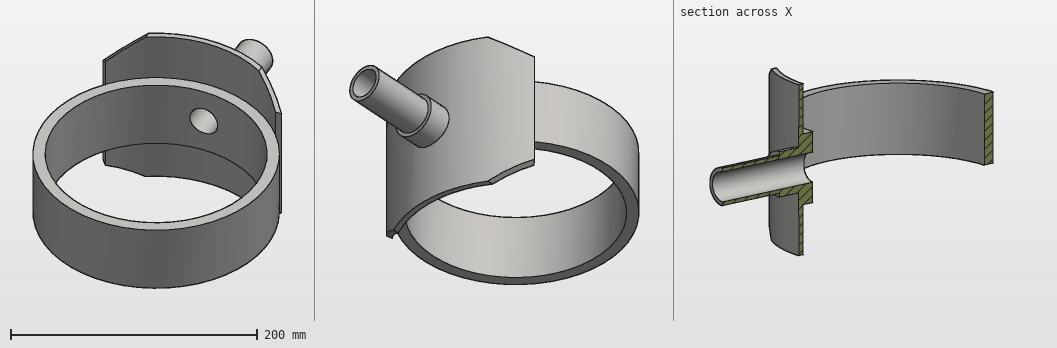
import cadquery as cq
import math

ring_outer_radius = 100.0
ring_wall = 10.0
ring_height = 60.0
ring_inner_radius = ring_outer_radius - ring_wall

saddle_thickness = 5.0
saddle_height = 144.0
saddle_half_angle = 50.0
saddle_outer_radius = ring_outer_radius + saddle_thickness
saddle_half_width = saddle_outer_radius * math.sin(math.radians(saddle_half_angle))
saddle_top_half_width = 51.0
saddle_side_height = 102.0

spigot_diameter = 32.0
spigot_length = 60.0
collar_diameter = 38.5
collar_length = 20.0
bore_diameter = 25.0
collar_end = saddle_outer_radius + collar_length
spigot_end = collar_end + spigot_length


def point_on_arc(radius, angle):
    """Point at an angle in degrees from +Y, positive toward +X."""
    return (radius * math.sin(math.radians(angle)), radius * math.cos(math.radians(angle)))


def cylinder_along_y(diameter, start, end):
    """Solid cylinder on the Y axis between two Y positions."""
    base = cq.Workplane("XZ", origin=(0, start, 0)).circle(diameter / 2)
    return base.extrude(start - end)


def make_ring_blank():
    """Solid disc of the ring, bored after everything is joined."""
    return cq.Workplane("XY").circle(ring_outer_radius).extrude(ring_height / 2, both=True)


def make_saddle():
    """Curved plate with its four corners cut off in the XZ outline."""
    plate = (
        cq.Workplane("XY")
        .moveTo(*point_on_arc(saddle_outer_radius, -saddle_half_angle))
        .threePointArc((0, saddle_outer_radius), point_on_arc(saddle_outer_radius, saddle_half_angle))
        .lineTo(*point_on_arc(ring_outer_radius, saddle_half_angle))
        .threePointArc((0, ring_outer_radius), point_on_arc(ring_outer_radius, -saddle_half_angle))
        .close()
        .extrude(saddle_height / 2, both=True)
    )
    half_height = saddle_height / 2
    half_side = saddle_side_height / 2
    outline = (
        cq.Workplane("XZ")
        .polyline([
            (-saddle_top_half_width, half_height),
            (saddle_top_half_width, half_height),
            (saddle_half_width, half_side),
            (saddle_half_width, -half_side),
            (saddle_top_half_width, -half_height),
            (-saddle_top_half_width, -half_height),
            (-saddle_half_width, -half_side),
            (-saddle_half_width, half_side),
        ])
        .close()
        .extrude(-saddle_outer_radius)
    )
    return plate.intersect(outline)


def make_spigot():
    """Collar and pin, started inside the ring wall so that they join the curved plate."""
    collar = cylinder_along_y(collar_diameter, ring_inner_radius, collar_end)
    pin = cylinder_along_y(spigot_diameter, collar_end, spigot_end)
    return collar.union(pin)


body = make_ring_blank().union(make_saddle()).union(make_spigot())
ring_opening = cq.Workplane("XY").circle(ring_inner_radius).extrude(saddle_height / 2, both=True)
spigot_bore = cylinder_along_y(bore_diameter, 0, spigot_end)
result = body.cut(ring_opening).cut(spigot_bore)